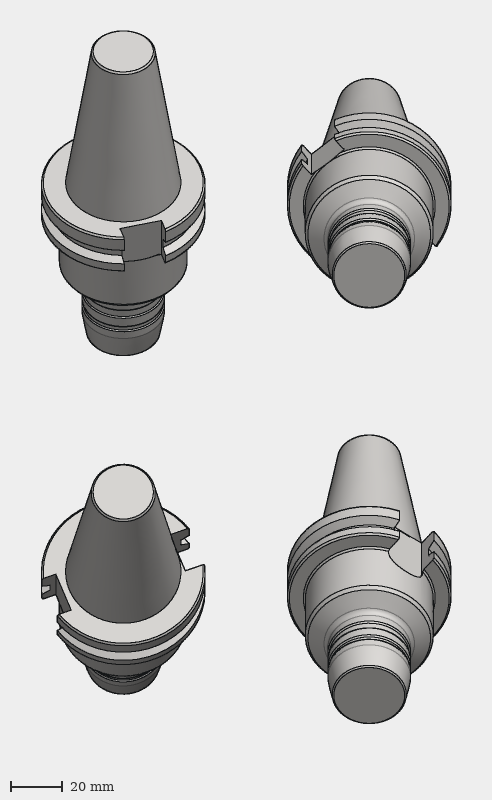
import cadquery as cq
import math

total_height = 148.2
flange_top = 78.9
flange_bottom = 61.0
upper_rim_bottom = 72.5
groove_top = 70.7
groove_bottom = 66.7
lower_rim_top = 65.4
body_bottom = 36.5
neck_blend_bottom = 29.8
nose_top = 11.3

taper_base_diameter = 44.6
taper_tip_diameter = 24.8
flange_diameter = 63.3
flange_groove_diameter = 56.6
body_diameter = 49.5
neck_diameter = 32.0
ring_groove_diameter = 31.0
nose_tip_diameter = 28.6

tip_chamfer = 0.7
flange_chamfer = 0.7
body_collar = 0.7
body_edge_chamfer = 1.0
shoulder_slope = 30.0
neck_blend = 3.0
nose_chamfer = 0.6
nose_bulge = 0.1
ring_groove_lower_ramp = 0.5
ring_groove_upper_ramp = 0.7

ring_grooves = [(22.0, 26.2), (14.8, 17.6)]

slot_width = 16.6
deep_slot_floor = 22.5
shallow_slot_floor = body_diameter / 2
slot_arc_center = 60.0


def revolved_body():
    """Revolve the half section of the holder, from the nose up to the taper tip."""
    tip_r = taper_tip_diameter / 2
    flange_r = flange_diameter / 2
    groove_r = flange_groove_diameter / 2
    body_r = body_diameter / 2
    neck_r = neck_diameter / 2
    nose_r = nose_tip_diameter / 2

    nose_mid_r = (nose_r + neck_r) / 2 + nose_bulge
    nose_mid_z = (nose_chamfer + nose_top) / 2

    slope = math.radians(shoulder_slope)
    blend_center_r = neck_r + neck_blend
    blend_end_r = blend_center_r - neck_blend * math.sin(slope)
    blend_end_z = neck_blend_bottom + neck_blend * math.cos(slope)
    half_turn = (math.pi / 2 - slope) / 2
    blend_mid_r = blend_center_r - neck_blend * math.cos(half_turn)
    blend_mid_z = neck_blend_bottom + neck_blend * math.sin(half_turn)
    shoulder_r = body_r - body_edge_chamfer
    shoulder_z = blend_end_z + (shoulder_r - blend_end_r) * math.tan(slope)

    section = (
        cq.Workplane("XZ")
        .lineTo(nose_r - nose_chamfer, 0)
        .lineTo(nose_r, nose_chamfer)
        .threePointArc((nose_mid_r, nose_mid_z), (neck_r, nose_top))
        .lineTo(neck_r, neck_blend_bottom)
        .threePointArc((blend_mid_r, blend_mid_z), (blend_end_r, blend_end_z))
        .lineTo(shoulder_r, shoulder_z)
        .lineTo(body_r, body_bottom + body_edge_chamfer)
        .lineTo(body_r, flange_bottom - body_collar)
        .lineTo(body_r + body_collar, flange_bottom)
        .lineTo(flange_r - flange_chamfer, flange_bottom)
        .lineTo(flange_r, flange_bottom + flange_chamfer)
        .lineTo(flange_r, lower_rim_top)
        .lineTo(groove_r, groove_bottom)
        .lineTo(groove_r, groove_top)
        .lineTo(flange_r, upper_rim_bottom)
        .lineTo(flange_r, flange_top - flange_chamfer)
        .lineTo(flange_r - flange_chamfer, flange_top)
        .lineTo(taper_base_diameter / 2, flange_top)
        .lineTo(tip_r, total_height - tip_chamfer)
        .lineTo(tip_r - tip_chamfer, total_height)
        .lineTo(0, total_height)
        .close()
    )
    return section.revolve(360, (0, 0, 0), (0, 1, 0))


def ring_groove(bottom, top):
    """Shallow neck groove with ramped walls, the upper ramp being longer."""
    outer_r = neck_diameter / 2
    inner_r = ring_groove_diameter / 2
    return (
        cq.Workplane("XZ")
        .moveTo(outer_r, bottom)
        .lineTo(inner_r, bottom + ring_groove_lower_ramp)
        .lineTo(inner_r, top - ring_groove_upper_ramp)
        .lineTo(outer_r, top)
        .close()
        .revolve(360, (0, 0, 0), (0, 1, 0))
    )


def drive_slot(side, floor):
    """Round-ended slot open at the flange top; side is -1 or +1 along X."""
    half_width = slot_width / 2
    return (
        cq.Workplane("YZ", origin=(side * floor, 0, 0))
        .moveTo(-half_width, flange_top)
        .lineTo(-half_width, slot_arc_center)
        .threePointArc((0, slot_arc_center - half_width), (half_width, slot_arc_center))
        .lineTo(half_width, flange_top)
        .close()
        .extrude(side * flange_diameter / 2)
    )


result = revolved_body()
for groove_low, groove_high in ring_grooves:
    result = result.cut(ring_groove(groove_low, groove_high))
result = result.cut(drive_slot(-1, deep_slot_floor))
result = result.cut(drive_slot(1, shallow_slot_floor))